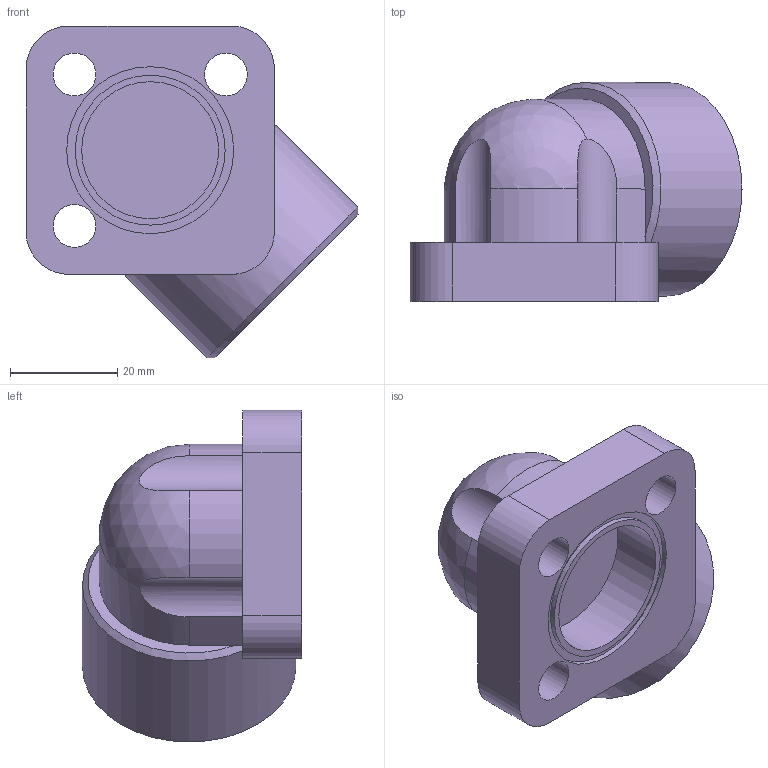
import cadquery as cq
import math

plate_width = 46.4
plate_thickness = 11.0
plate_corner_radius = 8.0

bolt_circle_radius = 20.0
bolt_hole_diameter = 8.0
head_clearance_radius = 6.0
bolt_angles = (45, 135, 225)

bore_diameter = 25.6
bore_depth = 10.0
groove_inner_diameter = 28.0
groove_outer_diameter = 31.2
groove_depth = 1.0

elbow_radius = 16.8
outlet_height = 21.0
outlet_angle = 45.0
socket_radius = 19.95
socket_start = 12.5
socket_end = 36.0
socket_chamfer = 1.05

cylinder_height = outlet_height - plate_thickness
socket_length = socket_end - socket_start


def front_plane(y=0.0):
    """Workplane facing +Y with local x along +X and local y along -Z."""
    return cq.Workplane(cq.Plane(origin=(0, y, 0), xDir=(1, 0, 0), normal=(0, 1, 0)))


def along_outlet(solid):
    """Turn a shape built along +X so that it points down the outlet, between +X and -Z."""
    return solid.rotate((0, 0, 0), (0, 1, 0), outlet_angle)


def make_plate():
    plate = front_plane().rect(plate_width, plate_width).extrude(plate_thickness)
    return plate.edges("|Y").fillet(plate_corner_radius)


def make_elbow():
    """Domed cylinder behind the plate, with a straight-sided neck towards the socket."""
    cylinder = front_plane(plate_thickness).circle(elbow_radius).extrude(cylinder_height)
    dome = cq.Workplane("XY").sphere(elbow_radius).translate((0, outlet_height, 0))
    neck = (
        cq.Workplane("YZ")
        .moveTo(plate_thickness, -elbow_radius)
        .lineTo(outlet_height, -elbow_radius)
        .threePointArc((outlet_height + elbow_radius, 0), (outlet_height, elbow_radius))
        .lineTo(plate_thickness, elbow_radius)
        .close()
        .extrude(socket_start)
    )
    return cylinder.union(dome).union(along_outlet(neck))


def make_socket():
    socket = (
        cq.Workplane("YZ", origin=(socket_start, outlet_height, 0))
        .circle(socket_radius)
        .extrude(socket_length)
        .edges("%CIRCLE")
        .chamfer(socket_chamfer)
    )
    return along_outlet(socket)


def bolt_cylinders(radius, start, length):
    """Cylinders along Y at every bolt position."""
    centres = [
        (
            bolt_circle_radius * math.cos(math.radians(angle)),
            -bolt_circle_radius * math.sin(math.radians(angle)),
        )
        for angle in bolt_angles
    ]
    return front_plane(start).pushPoints(centres).circle(radius).extrude(length)


def make_bore():
    return front_plane().circle(bore_diameter / 2).extrude(bore_depth)


def make_groove():
    ring = front_plane().circle(groove_outer_diameter / 2).circle(groove_inner_diameter / 2)
    return ring.extrude(groove_depth)


clearance_length = cylinder_height + elbow_radius
elbow = make_elbow().cut(bolt_cylinders(head_clearance_radius, plate_thickness, clearance_length))
body = make_plate().union(elbow).union(make_socket())
bolt_holes = bolt_cylinders(bolt_hole_diameter / 2, 0, plate_thickness)
result = body.cut(bolt_holes).cut(make_bore()).cut(make_groove())